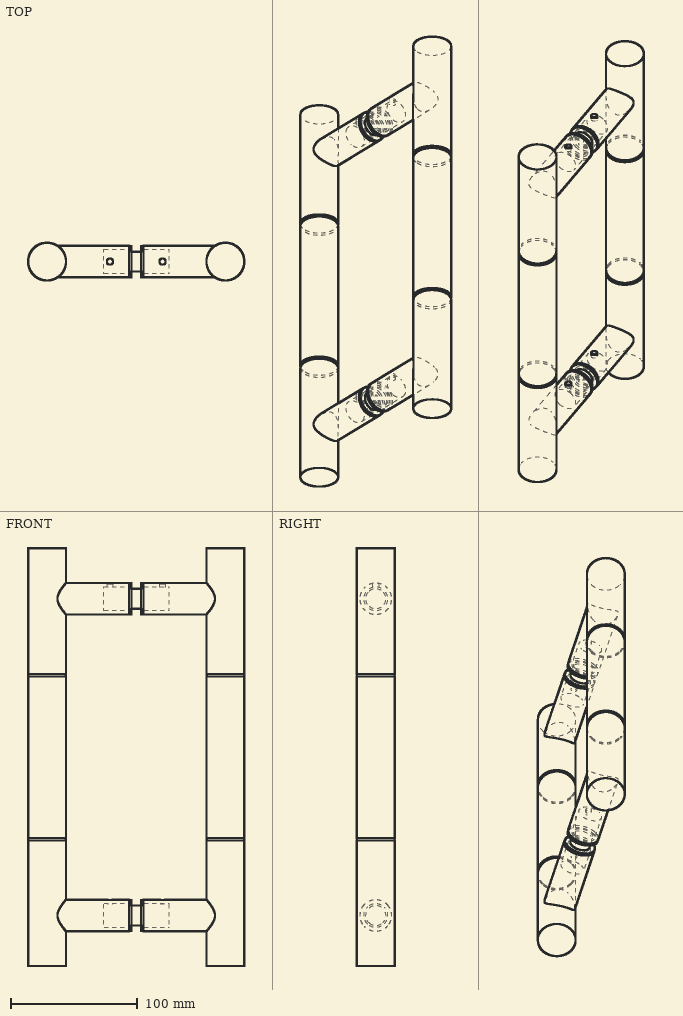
import cadquery as cq

BAR_LENGTH = 330.0
BAR_DIAMETER = 30.0
OVERALL_WIDTH = 171.0
GROOVE_DIAMETER = 29.7
GROOVE_WIDTH = 2.0
GROOVE_HEIGHT = 64.7

POST_DIAMETER = 25.0
POST_HEIGHT = 125.0
BORE_DIAMETER = 18.8
SCREW_HOLE_DIAMETER = 5.0
SCREW_HOLE_OFFSET = 20.8

PANEL_GAP = 7.5
COLLAR_DIAMETER = 24.8
COLLAR_LENGTH = 2.0

STUD_DIAMETER = 16.0

SIDES = (-1, 1)
LEVELS = (-POST_HEIGHT, POST_HEIGHT)
BAR_OFFSET = (OVERALL_WIDTH - BAR_DIAMETER) / 2
COLLAR_FACE = PANEL_GAP / 2
POST_FACE = COLLAR_FACE + COLLAR_LENGTH
SPIGOT_END = SCREW_HOLE_OFFSET + SCREW_HOLE_DIAMETER


def rod_along_x(diameter, start, end, height):
    """Round rod parallel to X, from one X position to another."""
    return (
        cq.Workplane("YZ", origin=(start, 0, height))
        .circle(diameter / 2)
        .extrude(end - start)
    )


def groove_ring(height):
    """Ring of material that a shallow groove removes from a bar on the Z axis."""
    return (
        cq.Workplane("XY", origin=(0, 0, height - GROOVE_WIDTH / 2))
        .circle(BAR_DIAMETER)
        .circle(GROOVE_DIAMETER / 2)
        .extrude(GROOVE_WIDTH)
    )


def make_bar(side):
    """Upright bar with two shallow grooves."""
    bar = (
        cq.Workplane("XY", origin=(0, 0, -BAR_LENGTH / 2))
        .circle(BAR_DIAMETER / 2)
        .extrude(BAR_LENGTH)
    )
    for direction in SIDES:
        bar = bar.cut(groove_ring(direction * GROOVE_HEIGHT))
    return bar.translate((side * BAR_OFFSET, 0, 0))


def screw_hole(side, height):
    """Set-screw hole drilled from the top of a post down into its bore."""
    return (
        cq.Workplane("XY", origin=(side * SCREW_HOLE_OFFSET, 0, height))
        .circle(SCREW_HOLE_DIAMETER / 2)
        .extrude(POST_DIAMETER)
    )


def make_handle(side):
    """Bar with its two bored posts, as one piece."""
    handle = make_bar(side)
    for height in LEVELS:
        post = rod_along_x(POST_DIAMETER, side * POST_FACE, side * BAR_OFFSET, height)
        bore = rod_along_x(BORE_DIAMETER, side * POST_FACE, side * SPIGOT_END, height)
        handle = handle.union(post).cut(bore).cut(screw_hole(side, height))
    return handle


def make_stud(height):
    """Plain stud that spans from post face to post face."""
    return rod_along_x(STUD_DIAMETER, -POST_FACE, POST_FACE, height)


def make_adapter(side, height):
    """Collar and spigot in one piece, with a hole through the collar that fits the stud."""
    collar = rod_along_x(COLLAR_DIAMETER, side * COLLAR_FACE, side * POST_FACE, height)
    spigot = rod_along_x(BORE_DIAMETER, side * POST_FACE, side * SPIGOT_END, height)
    return collar.union(spigot).cut(make_stud(height))


handles = [make_handle(side).val() for side in SIDES]
adapters = [make_adapter(side, height).val() for side in SIDES for height in LEVELS]
studs = [make_stud(height).val() for height in LEVELS]

result = cq.Compound.makeCompound([*handles, *adapters, *studs])